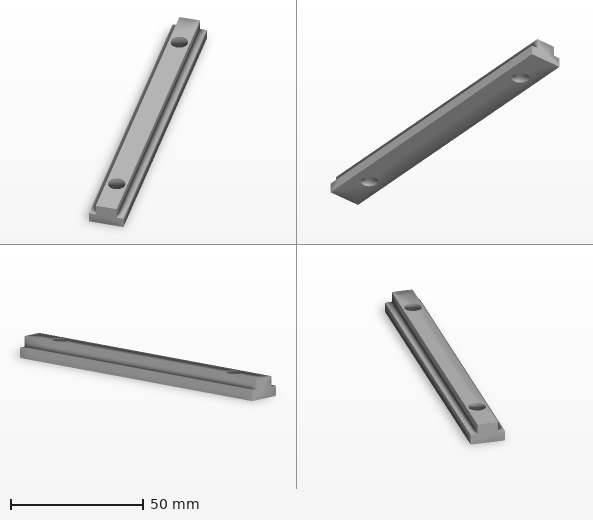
import cadquery as cq

length = 120.0
base_width = 13.5
total_height = 8.0

rib_width = 8.2
base_height = 4.0
rib_height = total_height - base_height

hole_diameter = 6.6
hole_end_distance = 15.0
hole_offset = length / 2 - hole_end_distance

base = cq.Workplane("XY").box(base_width, length, base_height, centered=(True, True, False))
bar = base.faces(">Z").workplane().rect(rib_width, length).extrude(rib_height)

result = (
    bar.faces(">Z").workplane()
    .pushPoints([(0, -hole_offset), (0, hole_offset)])
    .hole(hole_diameter)
)